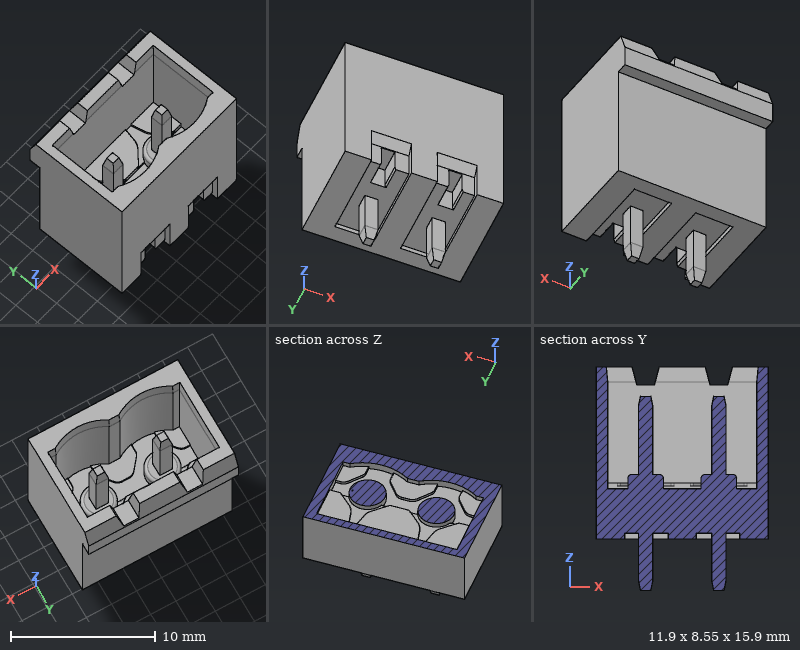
import cadquery as cq
import math


pitch = 5.08
pin_xs = (-pitch / 2, pitch / 2)
body_width = 11.95
body_depth = 7.66
body_height = 11.95
half_body_width = body_width / 2

lip_rear_y = 8.55
lip_height = 3.0
lip_slope_depth = 0.55
lip_slope_height = 1.4

cavity_half_width = 5.16
cavity_front_y = 1.65
cavity_rear_y = 7.0
cavity_floor_z = 3.5
bulge_radius = 3.91
bulge_front_y = 1.03
lead_in_widening = 0.1
lead_in_depth = 1.05

floor_step = 0.2
ledge_front_y = 4.41
pad_rear_y = 3.2
pad_shoulder_y = 1.93
pad_gap_half_width = 0.915
pad_flank_half_width = 1.95
pad_rear_corner_radius = 0.7
pad_shoulder_radius = 0.5
funnel_mouth_half_width = 1.83
funnel_neck_half_width = 0.57
funnel_rear_half_width = 0.27
funnel_neck_y = 5.62
funnel_neck_radius = 1.0
funnel_mouth_radius = 0.3
corner_search_margin = 0.1

notch_top_width = 1.87
notch_floor_width = 1.21
notch_depth = 1.25

pin_y = 3.91
pin_size = 1.0
pin_tip_size = 0.6
pin_tip_length = 1.0
pin_top_z = 10.25
pin_bottom_z = -3.9
collar_diameter = 2.6
collar_height = 1.0
collar_rounding = 0.27

window_xs = (-2.475, 2.475)
window_width = 3.0
window_top_z = 3.2
window_inner_top_z = 2.37
window_depth = 0.45
underside_recess_height = 0.4
underside_recess_rear_y = 6.5
slot_width = 1.0
slot_top_z = 2.28
slot_rear_y = 2.2
slot_flare_width = 1.17
slot_flare_height = 0.25


def block(x_min, x_max, y_min, y_max, z_min, z_max):
    """Axis-aligned box between the given limits."""
    size = (x_max - x_min, y_max - y_min, z_max - z_min)
    return cq.Workplane("XY").box(*size, centered=False).translate((x_min, y_min, z_min))


def make_housing():
    """Plain housing block with the sloped lip along its rear top edge."""
    side_outline = [
        (0, 0),
        (body_depth, 0),
        (body_depth, body_height - lip_height),
        (lip_rear_y, body_height - lip_height),
        (lip_rear_y, body_height - lip_slope_height),
        (lip_rear_y - lip_slope_depth, body_height),
        (0, body_height),
    ]
    profile = cq.Workplane("YZ", origin=(-half_body_width, 0, 0)).polyline(side_outline).close()
    return profile.extrude(body_width)


def cavity_outline(z, widening):
    """Cavity outline at height z: a rectangle with one round bulge in front of each pin."""
    half_width = cavity_half_width + widening
    front_y = cavity_front_y - widening
    rear_y = cavity_rear_y + widening
    bulge_y = bulge_front_y - widening
    radius = bulge_radius + widening
    half_chord = math.sqrt(radius**2 - (bulge_front_y + bulge_radius - front_y) ** 2)
    outline = cq.Workplane("XY", origin=(0, 0, z)).moveTo(-half_width, front_y)
    for x in pin_xs:
        outline = outline.lineTo(x - half_chord, front_y)
        outline = outline.threePointArc((x, bulge_y), (x + half_chord, front_y))
    return outline.lineTo(half_width, front_y).lineTo(half_width, rear_y).lineTo(-half_width, rear_y).close()


def make_lead_in():
    """Tapered mouth of the cavity, widest at the top face."""
    taper = math.degrees(math.atan(lead_in_widening / lead_in_depth))
    return cavity_outline(body_height, lead_in_widening).extrude(-lead_in_depth, taper=taper)


def floor_corners(y):
    """Selector for the vertical edges of the floor relief that lie at depth y, clear of the side walls."""
    half_width = cavity_half_width - corner_search_margin
    return cq.selectors.BoxSelector(
        (-half_width, y - corner_search_margin, 0),
        (half_width, y + corner_search_margin, 2 * floor_step),
    )


def make_front_pads():
    """Raised floor pads along the front wall, left clear in front of each pin."""
    pads = block(-cavity_half_width, cavity_half_width, 0, pad_rear_y, 0, floor_step)
    for x in pin_xs:
        gap_outline = [
            (x - pad_gap_half_width, 0),
            (x + pad_gap_half_width, 0),
            (x + pad_gap_half_width, pad_shoulder_y),
            (x + pad_flank_half_width, pad_rear_y),
            (x - pad_flank_half_width, pad_rear_y),
            (x - pad_gap_half_width, pad_shoulder_y),
        ]
        pads = pads.cut(cq.Workplane("XY").polyline(gap_outline).close().extrude(floor_step))
    pads = pads.edges("|Z").edges(floor_corners(pad_shoulder_y)).fillet(pad_shoulder_radius)
    return pads.edges("|Z").edges(floor_corners(pad_rear_y)).fillet(pad_rear_corner_radius)


def make_rear_ledge():
    """Raised floor behind the pins, two steps high, with a funnel one step high behind each pin."""
    half_width = cavity_half_width
    ledge = block(-half_width, half_width, ledge_front_y, cavity_rear_y, 0, floor_step)
    banks = block(-half_width, half_width, ledge_front_y, cavity_rear_y, floor_step, 2 * floor_step)
    for x in pin_xs:
        funnel_outline = [
            (x - funnel_mouth_half_width, ledge_front_y),
            (x + funnel_mouth_half_width, ledge_front_y),
            (x + funnel_neck_half_width, funnel_neck_y),
            (x + funnel_rear_half_width, cavity_rear_y),
            (x - funnel_rear_half_width, cavity_rear_y),
            (x - funnel_neck_half_width, funnel_neck_y),
        ]
        funnel = cq.Workplane("XY", origin=(0, 0, floor_step)).polyline(funnel_outline).close()
        banks = banks.cut(funnel.extrude(floor_step))
    banks = banks.edges("|Z").edges(floor_corners(funnel_neck_y)).fillet(funnel_neck_radius)
    banks = banks.edges("|Z").edges(floor_corners(ledge_front_y)).fillet(funnel_mouth_radius)
    return ledge.union(banks)


def make_cavity():
    """Space inside the housing, including the relief of its floor."""
    cavity = cavity_outline(cavity_floor_z, 0).extrude(body_height - cavity_floor_z)
    floor_relief = make_front_pads().union(make_rear_ledge()).translate((0, 0, cavity_floor_z))
    return cavity.cut(floor_relief).union(make_lead_in())


def make_coding_notch(x):
    """Trapezoidal notch that opens the rear wall from the cavity to the back of the lip."""
    outline = [
        (x - notch_top_width / 2, body_height),
        (x + notch_top_width / 2, body_height),
        (x + notch_floor_width / 2, body_height - notch_depth),
        (x - notch_floor_width / 2, body_height - notch_depth),
    ]
    profile = cq.Workplane("XZ", origin=(0, lip_rear_y, 0)).polyline(outline).close()
    return profile.extrude(lip_rear_y - ledge_front_y)


def make_window(x):
    """Shallow window in the front wall with a sloped ceiling, and the recess under the floor behind it."""
    side_outline = [
        (0, 0),
        (window_depth, 0),
        (window_depth, window_inner_top_z),
        (0, window_top_z),
    ]
    x_min = x - window_width / 2
    window = cq.Workplane("YZ", origin=(x_min, 0, 0)).polyline(side_outline).close().extrude(window_width)
    recess = block(x_min, x_min + window_width, 0, underside_recess_rear_y, 0, underside_recess_height)
    return window.union(recess)


def make_slot(x):
    """Upright slot in front of one pin, flared at its lower end."""
    flare_top_z = underside_recess_height + slot_flare_height
    outline = [
        (x - slot_flare_width / 2, underside_recess_height),
        (x + slot_flare_width / 2, underside_recess_height),
        (x + slot_width / 2, flare_top_z),
        (x + slot_width / 2, slot_top_z),
        (x - slot_width / 2, slot_top_z),
        (x - slot_width / 2, flare_top_z),
    ]
    profile = cq.Workplane("XZ", origin=(0, slot_rear_y, 0)).polyline(outline).close()
    return profile.extrude(slot_rear_y - window_depth)


def make_pin_tip(x, base_z, direction):
    """Tapered square end of a pin; direction is 1 for upward and -1 for downward."""
    base = cq.Workplane("XY", origin=(x, pin_y, base_z)).rect(pin_size, pin_size)
    end = base.workplane(offset=direction * pin_tip_length).rect(pin_tip_size, pin_tip_size)
    return end.loft(ruled=True)


def make_pin(x):
    """Square pin with a tapered tip at each end."""
    shank_bottom_z = pin_bottom_z + pin_tip_length
    shank_top_z = pin_top_z - pin_tip_length
    shank = cq.Workplane("XY", origin=(x, pin_y, shank_bottom_z)).rect(pin_size, pin_size)
    shank = shank.extrude(shank_top_z - shank_bottom_z)
    return shank.union(make_pin_tip(x, shank_top_z, 1)).union(make_pin_tip(x, shank_bottom_z, -1))


def make_collar(x):
    """Round collar on the cavity floor with a rounded top edge."""
    collar = cq.Workplane("XY", origin=(x, pin_y, cavity_floor_z)).circle(collar_diameter / 2)
    return collar.extrude(collar_height).faces(">Z").edges().fillet(collar_rounding)


result = make_housing().cut(make_cavity())
for window_x in window_xs:
    result = result.cut(make_window(window_x))
for pin_x in pin_xs:
    result = result.cut(make_coding_notch(pin_x)).cut(make_slot(pin_x))
    result = result.union(make_collar(pin_x)).union(make_pin(pin_x))